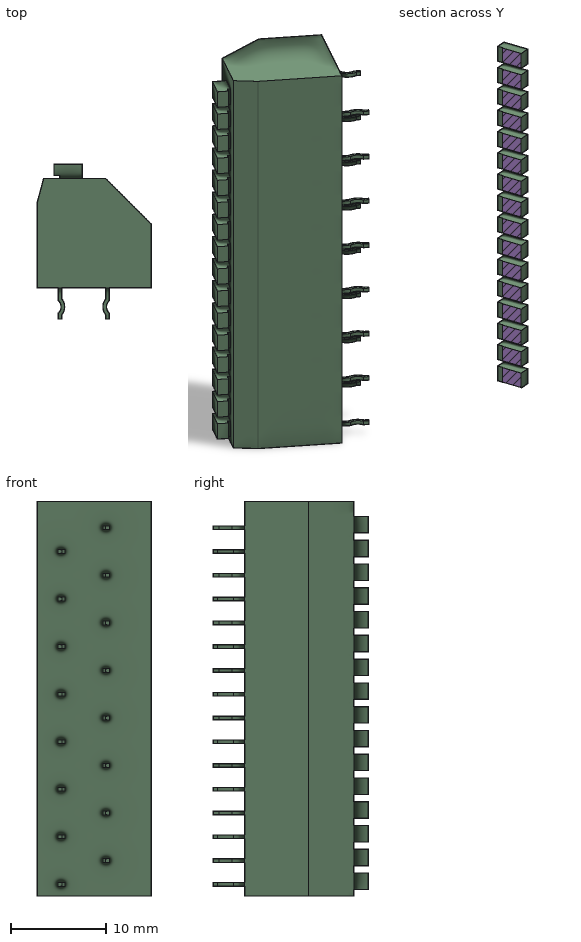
import cadquery as cq
import math

pole_count = 16
pole_pitch = 2.5

housing_width = 12.0
housing_depth = 11.5
housing_length = 41.5
rear_slope_width = 4.8
lead_in_depth = 2.5
lead_in_angle = 15.0

button_left = 1.75
button_width = 3.0
button_height = 1.5
button_thickness = 1.75
button_first_z = 1.55
undercut_width = 0.6
undercut_height = 0.3

pin_thickness = 0.4
pin_length = 3.3
pin_first_z = 1.225
pin_row_left = 2.4
pin_row_pitch = 5.0
kink_drop = 2.0
kink_inner_radius = 0.9
kink_centre_offset = 0.8
pin_root = 0.5


def make_housing():
    lead_in_width = lead_in_depth * math.tan(math.radians(lead_in_angle))
    outline = [
        (0, 0),
        (housing_width, 0),
        (housing_width, housing_depth - rear_slope_width),
        (housing_width - rear_slope_width, housing_depth),
        (lead_in_width, housing_depth),
        (0, housing_depth - lead_in_depth),
    ]
    return cq.Workplane("XY").polyline(outline).close().extrude(housing_length)


def make_button(centre_z):
    button_right = button_left + button_width
    neck_left = button_left + undercut_width
    lip_y = housing_depth + undercut_height
    top_y = housing_depth + button_height
    outline = [
        (neck_left, housing_depth),
        (button_right, housing_depth),
        (button_right, top_y),
        (button_left, top_y),
        (button_left, lip_y),
        (neck_left, lip_y),
    ]
    bottom_z = centre_z - button_thickness / 2
    base_plane = cq.Workplane("XY").workplane(offset=bottom_z)
    return base_plane.polyline(outline).close().extrude(button_thickness)


def make_pin(centre_x, centre_z, kink_direction):
    """Square pin with an arc-shaped kink bulging toward kink_direction (+1 or -1 along X)."""
    half = pin_thickness / 2
    kink_outer_radius = kink_inner_radius + pin_thickness
    inner_reach = math.sqrt(kink_inner_radius**2 - (kink_centre_offset - half) ** 2)
    outer_reach = math.sqrt(kink_outer_radius**2 - (kink_centre_offset + half) ** 2)

    def point(offset, y):
        return (centre_x + kink_direction * offset, y)

    inner_peak = kink_inner_radius - kink_centre_offset
    outer_peak = kink_outer_radius - kink_centre_offset
    profile = (
        cq.Workplane("XY")
        .workplane(offset=centre_z - half)
        .moveTo(*point(-half, pin_root))
        .lineTo(*point(-half, -kink_drop + inner_reach))
        .threePointArc(point(inner_peak, -kink_drop), point(-half, -kink_drop - inner_reach))
        .lineTo(*point(-half, -pin_length))
        .lineTo(*point(half, -pin_length))
        .lineTo(*point(half, -kink_drop - outer_reach))
        .threePointArc(point(outer_peak, -kink_drop), point(half, -kink_drop + outer_reach))
        .lineTo(*point(half, pin_root))
        .close()
    )
    return profile.extrude(pin_thickness)


result = make_housing()
for pole in range(pole_count):
    pole_z = pole * pole_pitch
    result = result.union(make_button(button_first_z + pole_z))
    row = pole % 2
    pin_x = pin_row_left + row * pin_row_pitch
    kink_side = 1 - 2 * row
    result = result.union(make_pin(pin_x, pin_first_z + pole_z, kink_side))